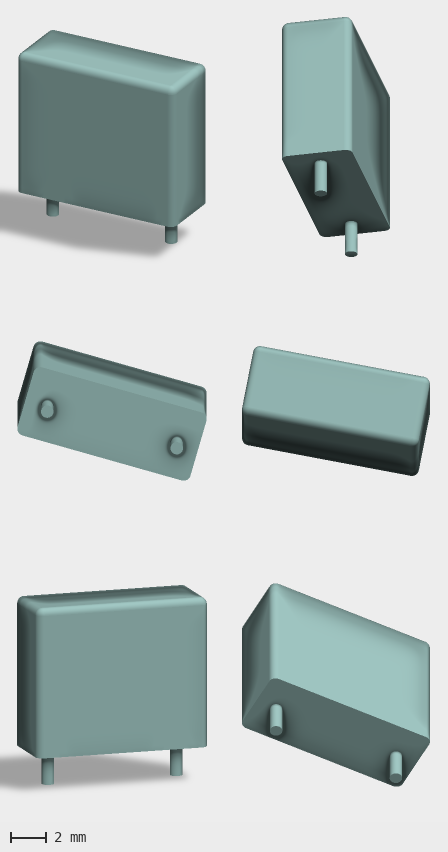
import cadquery as cq

body_length = 10.0
body_width = 4.0
total_height = 10.4
edge_radius = 0.4

lead_length = 1.9
lead_diameter = 0.7
lead_pitch = 7.5

body_height = total_height - lead_length


def make_body():
    """Box standing on Z = 0, with every edge rounded except those of its base."""
    box = cq.Workplane("XY").box(body_length, body_width, body_height, centered=(True, True, False))
    return box.edges("|Z or >Z").fillet(edge_radius)


def make_leads():
    """Two round leads hanging from the base, centred across the width."""
    lead_centres = [(-lead_pitch / 2, 0), (lead_pitch / 2, 0)]
    return cq.Workplane("XY").pushPoints(lead_centres).circle(lead_diameter / 2).extrude(-lead_length)


result = make_body().union(make_leads())